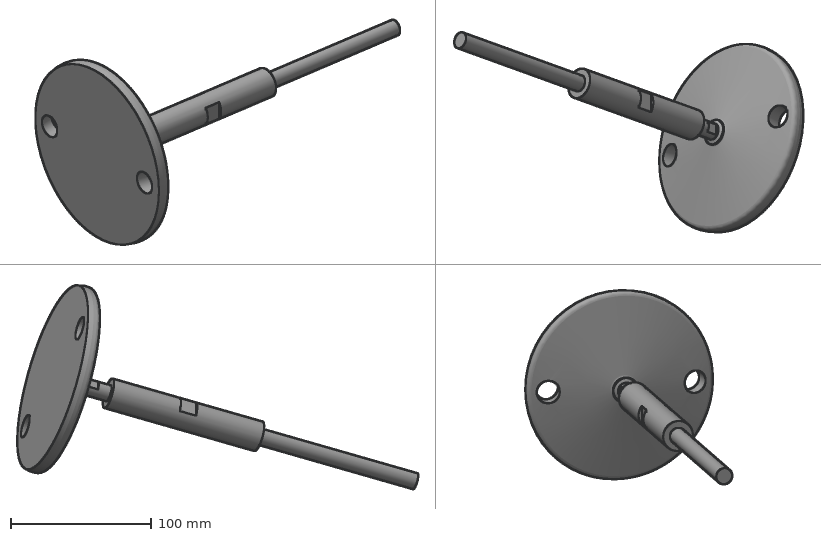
import cadquery as cq
import math

TOTAL_LENGTH = 278.0

FOOT_RADIUS = 69.0
FLOOR_RADIUS = 68.0
RIM_BOTTOM = 4.2
RIM_CORNER = 9.5
RIM_ROUNDING = 3.3
CONE_ANGLE = 10.0
COLLAR_BASE_RADIUS = 10.5
COLLAR_NECK_RADIUS = 8.5
COLLAR_NECK_LEVEL = 21.0
COLLAR_LIP_RADIUS = 9.2
COLLAR_LIP_LEVEL = 22.0
COLLAR_TOP = 23.4
SOCKET_FLOOR = 16.7

BOLT_HOLE_DIAMETER = 16.5
BOLT_HOLE_OFFSET = 52.3

SPINDLE_DIAMETER = 12.0
SPINDLE_FLAT_WIDTH = 9.0
SPINDLE_FLAT_BOTTOM = 24.5
SPINDLE_FLAT_LENGTH = 8.5

SLEEVE_DIAMETER = 22.0
SLEEVE_LENGTH = 115.0
SLEEVE_BOTTOM = 42.8
SLEEVE_FLAT_WIDTH = 17.2
SLEEVE_FLAT_LENGTH = 12.5


def cylinder(diameter, bottom, length):
    """Cylinder about the Y axis, rising from the given level."""
    base = cq.Workplane("XZ", origin=(0, bottom, 0))
    return base.circle(diameter / 2).extrude(-length)


def cut_wrench_flats(body, diameter, width, bottom, length):
    """Cut two flats facing -X and +X, the given width apart."""
    depth = (diameter - width) / 2
    center_offset = (diameter + width) / 4
    for side in (-1, 1):
        cutter = cq.Workplane("XY").box(depth, length, diameter)
        body = body.cut(cutter.translate((side * center_offset, bottom + length / 2, 0)))
    return body


def make_foot():
    cone_rise = (FOOT_RADIUS - COLLAR_BASE_RADIUS) * math.tan(math.radians(CONE_ANGLE))
    disc = (
        cq.Workplane("XY")
        .moveTo(0, 0)
        .lineTo(FLOOR_RADIUS, 0)
        .lineTo(FOOT_RADIUS, RIM_BOTTOM)
        .lineTo(FOOT_RADIUS, RIM_CORNER)
        .lineTo(COLLAR_BASE_RADIUS, RIM_CORNER + cone_rise)
        .tangentArcPoint((COLLAR_NECK_RADIUS, COLLAR_NECK_LEVEL), relative=False)
        .lineTo(COLLAR_LIP_RADIUS, COLLAR_NECK_LEVEL)
        .lineTo(COLLAR_LIP_RADIUS, COLLAR_LIP_LEVEL)
        .lineTo(SPINDLE_DIAMETER / 2, COLLAR_TOP)
        .lineTo(0, COLLAR_TOP)
        .close()
        .revolve(360, (0, 0, 0), (0, 1, 0))
    )
    rim_corner = cq.selectors.BoxSelector(
        (-FOOT_RADIUS, RIM_BOTTOM, -FOOT_RADIUS),
        (FOOT_RADIUS, RIM_CORNER + RIM_ROUNDING, FOOT_RADIUS),
    )
    foot = disc.edges("%CIRCLE").edges(rim_corner).edges(">Y").fillet(RIM_ROUNDING)

    foot = foot.cut(cylinder(SPINDLE_DIAMETER, SOCKET_FLOOR, COLLAR_TOP))
    for side in (-1, 1):
        foot = foot.cut(make_bolt_hole(side))
    return foot


def make_bolt_hole(side):
    """Cutter that leans outward so that it is square to the cone."""
    tilt = math.radians(CONE_ANGLE)
    axis = cq.Vector(side * math.sin(tilt), math.cos(tilt), 0)
    floor_center = cq.Vector(side * BOLT_HOLE_OFFSET, 0, 0)
    reach = 2 * COLLAR_TOP
    start = floor_center - axis * reach
    return cq.Workplane(
        cq.Solid.makeCylinder(BOLT_HOLE_DIAMETER / 2, 2 * reach, start, axis)
    )


def make_spindle():
    spindle = cylinder(SPINDLE_DIAMETER, SOCKET_FLOOR, TOTAL_LENGTH - SOCKET_FLOOR)
    return cut_wrench_flats(
        spindle, SPINDLE_DIAMETER, SPINDLE_FLAT_WIDTH, SPINDLE_FLAT_BOTTOM, SPINDLE_FLAT_LENGTH
    )


def make_sleeve():
    sleeve = cylinder(SLEEVE_DIAMETER, SLEEVE_BOTTOM, SLEEVE_LENGTH)
    flat_bottom = SLEEVE_BOTTOM + (SLEEVE_LENGTH - SLEEVE_FLAT_LENGTH) / 2
    sleeve = cut_wrench_flats(
        sleeve, SLEEVE_DIAMETER, SLEEVE_FLAT_WIDTH, flat_bottom, SLEEVE_FLAT_LENGTH
    )
    return sleeve.cut(cylinder(SPINDLE_DIAMETER, SLEEVE_BOTTOM, SLEEVE_LENGTH))


foot = make_foot()
spindle = make_spindle()
sleeve = make_sleeve()

result = cq.Compound.makeCompound([foot.val(), spindle.val(), sleeve.val()])